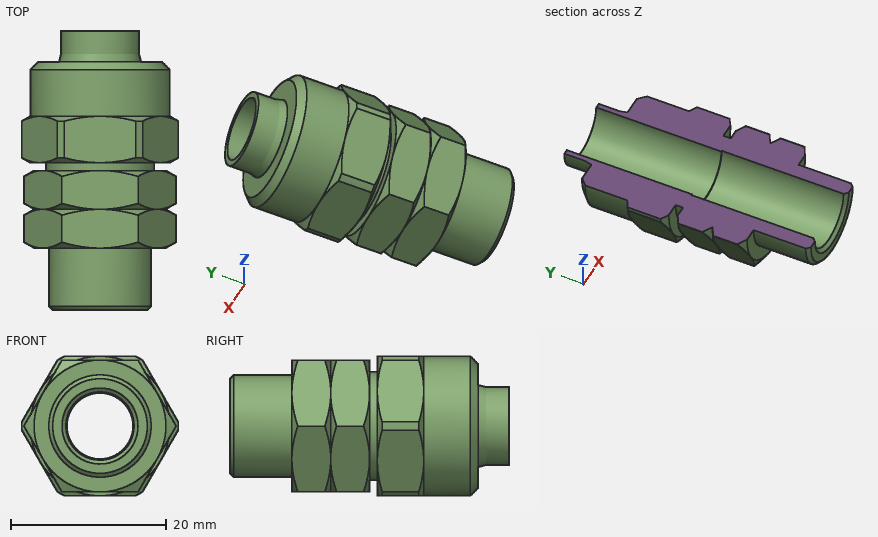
import math
import cadquery as cq

TOTAL_LENGTH = 36.0
SPIGOT_LENGTH = 8.0
SMALL_HEX_LENGTH = 5.0
COLLAR_LENGTH = 1.0
LARGE_HEX_LENGTH = 6.0
SLEEVE_LENGTH = 7.0
FLARE_LENGTH = 1.0

BODY_HEX_START = SPIGOT_LENGTH
LOCKNUT_START = BODY_HEX_START + SMALL_HEX_LENGTH
COLLAR_START = LOCKNUT_START + SMALL_HEX_LENGTH
LARGE_HEX_START = COLLAR_START + COLLAR_LENGTH
SLEEVE_START = LARGE_HEX_START + LARGE_HEX_LENGTH
SLEEVE_END = SLEEVE_START + SLEEVE_LENGTH
FLARE_END = SLEEVE_END + FLARE_LENGTH

SPIGOT_DIAMETER = 13.2
SPIGOT_CHAMFER = 0.5
COLLAR_DIAMETER = 14.0
SLEEVE_CHAMFER = 1.0
NECK_DIAMETER = 10.1
FLARE_DIAMETER = 10.6
INLET_BORE_DIAMETER = 8.8
INLET_BORE_DEPTH = COLLAR_START
OUTLET_BORE_DIAMETER = 8.5
BORE_CHAMFER = 0.5

HEX_SIDES = 6
SMALL_HEX_FLATS = 17.0
LARGE_HEX_FLATS = 18.0
LARGE_HEX_CORNERS = 20.2
HEX_CHAMFER_ANGLE = 30.0
SLEEVE_DIAMETER = LARGE_HEX_FLATS


def revolve_profile(points):
    """Solid of revolution about Y from (radius, y) points that start and end on the axis."""
    return cq.Workplane("XY").polyline(points).close().revolve(360, (0, 0, 0), (0, 1, 0))


def across_corners(flats):
    return flats / math.cos(math.pi / HEX_SIDES)


def hex_section(start, length, flats, corners):
    """Hexagon with flats facing +Z and -Z, turned to the corner diameter and coned at both ends."""
    end = start + length
    face_radius = flats / 2
    corner_radius = corners / 2
    cone_depth = (corner_radius - face_radius) * math.tan(math.radians(HEX_CHAMFER_ANGLE))
    prism = (
        cq.Workplane("XZ", origin=(0, start, 0))
        .polygon(HEX_SIDES, across_corners(flats))
        .extrude(-length)
    )
    turned_envelope = revolve_profile([
        (0, start),
        (face_radius, start),
        (corner_radius, start + cone_depth),
        (corner_radius, end - cone_depth),
        (face_radius, end),
        (0, end),
    ])
    return prism.intersect(turned_envelope)


def turned_body():
    """Spigot, core under the hexagons, sleeve, flare and neck."""
    spigot_radius = SPIGOT_DIAMETER / 2
    collar_radius = COLLAR_DIAMETER / 2
    sleeve_radius = SLEEVE_DIAMETER / 2
    neck_radius = NECK_DIAMETER / 2
    return revolve_profile([
        (0, 0),
        (spigot_radius - SPIGOT_CHAMFER, 0),
        (spigot_radius, SPIGOT_CHAMFER),
        (spigot_radius, BODY_HEX_START),
        (collar_radius, BODY_HEX_START),
        (collar_radius, SLEEVE_START),
        (sleeve_radius, SLEEVE_START),
        (sleeve_radius, SLEEVE_END - SLEEVE_CHAMFER),
        (sleeve_radius - SLEEVE_CHAMFER, SLEEVE_END),
        (FLARE_DIAMETER / 2, SLEEVE_END),
        (neck_radius, FLARE_END),
        (neck_radius, TOTAL_LENGTH),
        (0, TOTAL_LENGTH),
    ])


def through_bore():
    """Stepped through bore, chamfered at the spigot mouth and slightly narrower at the neck end."""
    inlet_radius = INLET_BORE_DIAMETER / 2
    outlet_radius = OUTLET_BORE_DIAMETER / 2
    return revolve_profile([
        (0, 0),
        (inlet_radius + BORE_CHAMFER, 0),
        (inlet_radius, BORE_CHAMFER),
        (inlet_radius, INLET_BORE_DEPTH),
        (outlet_radius, INLET_BORE_DEPTH),
        (outlet_radius, TOTAL_LENGTH),
        (0, TOTAL_LENGTH),
    ])


small_hex_corners = across_corners(SMALL_HEX_FLATS)
body = turned_body()
for hex_start in (BODY_HEX_START, LOCKNUT_START):
    body = body.union(hex_section(hex_start, SMALL_HEX_LENGTH, SMALL_HEX_FLATS, small_hex_corners))
body = body.union(hex_section(LARGE_HEX_START, LARGE_HEX_LENGTH, LARGE_HEX_FLATS, LARGE_HEX_CORNERS))

result = body.cut(through_bore())